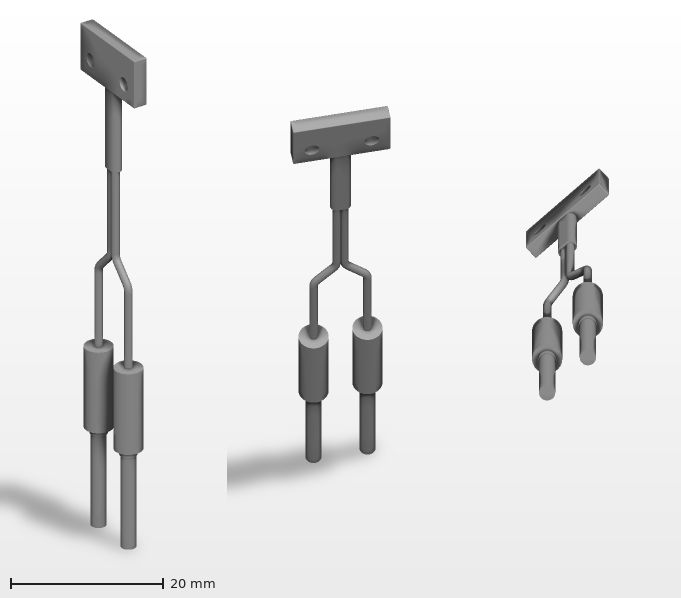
import cadquery as cq
import math

TOTAL_LENGTH = 73.6

PLATE_WIDTH = 13.0
PLATE_THICKNESS = 2.0
PLATE_HEIGHT = 7.0
PLATE_EDGE_RADIUS = 0.1
HOLE_DIAMETER = 2.0
HOLE_SPACING = 8.0
HOLE_DROP = 4.5

SLEEVE_WIDTH = 2.8
SLEEVE_THICKNESS = 1.6
SLEEVE_LENGTH = 12.0

WIRE_DIAMETER = 1.1
WIRE_PAIR_SPACING = 1.0
WIRE_PAIR_LENGTH = 12.45
BEND_RADIUS = 1.7
BEND_ANGLE = math.radians(45)

CONNECTOR_SPACING = 7.2
BODY_DIAMETER = 4.0
BODY_LENGTH = 12.0
COLLAR_DIAMETER = 2.4
COLLAR_LENGTH = 0.9
PIN_DIAMETER = 2.1
PIN_LENGTH = 13.7

PLATE_BOTTOM = TOTAL_LENGTH - PLATE_HEIGHT
SLEEVE_BOTTOM = PLATE_BOTTOM - SLEEVE_LENGTH
SPLIT_HEIGHT = SLEEVE_BOTTOM - WIRE_PAIR_LENGTH
COLLAR_TOP = PIN_LENGTH + COLLAR_LENGTH
BODY_TOP = COLLAR_TOP + BODY_LENGTH


def make_plate():
    """Plate with all outer edges rounded and two through holes."""
    plate = (
        cq.Workplane("XY")
        .workplane(offset=PLATE_BOTTOM)
        .rect(PLATE_WIDTH, PLATE_THICKNESS)
        .extrude(PLATE_HEIGHT)
        .edges()
        .fillet(PLATE_EDGE_RADIUS)
    )
    hole_height = TOTAL_LENGTH - HOLE_DROP
    holes = (
        cq.Workplane("XZ")
        .pushPoints([(side * HOLE_SPACING / 2, hole_height) for side in (-1, 1)])
        .circle(HOLE_DIAMETER / 2)
        .extrude(PLATE_THICKNESS, both=True)
    )
    return plate.cut(holes)


def make_sleeve():
    """Sleeve with an obround section."""
    return (
        cq.Workplane("XY")
        .workplane(offset=SLEEVE_BOTTOM)
        .slot2D(SLEEVE_WIDTH, SLEEVE_THICKNESS)
        .extrude(SLEEVE_LENGTH)
    )


def make_wire(side):
    """Wire leaving the sleeve, swung outwards by two equal bends, ending on its connector."""
    inner_x = WIRE_PAIR_SPACING / 2
    outer_x = CONNECTOR_SPACING / 2
    bend_shift = BEND_RADIUS * (1 - math.cos(BEND_ANGLE))
    bend_drop = BEND_RADIUS * math.sin(BEND_ANGLE)
    half_shift = BEND_RADIUS * (1 - math.cos(BEND_ANGLE / 2))
    half_drop = BEND_RADIUS * math.sin(BEND_ANGLE / 2)
    slope_drop = (outer_x - inner_x - 2 * bend_shift) / math.tan(BEND_ANGLE)
    lower_bend_end = SPLIT_HEIGHT - 2 * bend_drop - slope_drop

    path = (
        cq.Workplane("XZ")
        .moveTo(side * inner_x, SLEEVE_BOTTOM)
        .lineTo(side * inner_x, SPLIT_HEIGHT)
        .threePointArc(
            (side * (inner_x + half_shift), SPLIT_HEIGHT - half_drop),
            (side * (inner_x + bend_shift), SPLIT_HEIGHT - bend_drop),
        )
        .lineTo(side * (outer_x - bend_shift), lower_bend_end + bend_drop)
        .threePointArc(
            (side * (outer_x - half_shift), lower_bend_end + half_drop),
            (side * outer_x, lower_bend_end),
        )
        .lineTo(side * outer_x, BODY_TOP)
    )
    return (
        cq.Workplane("XY")
        .workplane(offset=SLEEVE_BOTTOM)
        .center(side * inner_x, 0)
        .circle(WIRE_DIAMETER / 2)
        .sweep(path)
    )


def make_cylinder(x, bottom, diameter, length):
    """Upright cylinder standing on the given height."""
    return cq.Workplane("XY", origin=(x, 0, bottom)).circle(diameter / 2).extrude(length)


def make_connector(side):
    """Round body with a short collar and a long pin below it."""
    x = side * CONNECTOR_SPACING / 2
    body = make_cylinder(x, COLLAR_TOP, BODY_DIAMETER, BODY_LENGTH)
    collar = make_cylinder(x, PIN_LENGTH, COLLAR_DIAMETER, COLLAR_LENGTH)
    pin = make_cylinder(x, 0, PIN_DIAMETER, PIN_LENGTH)
    return body.union(collar).union(pin)


result = make_plate().union(make_sleeve())
for side in (-1, 1):
    result = result.union(make_wire(side)).union(make_connector(side))